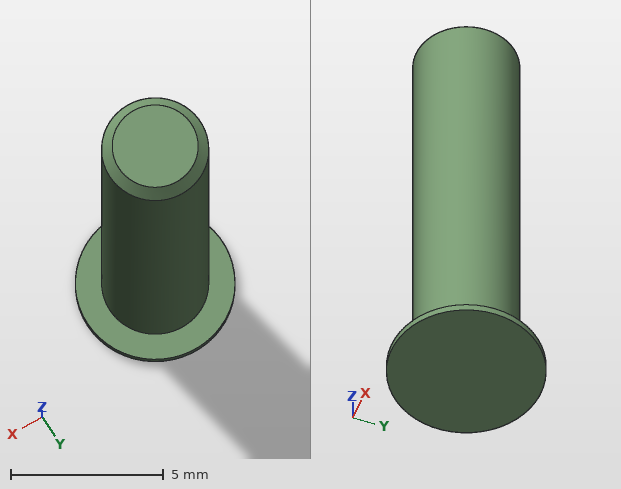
import cadquery as cq

total_height = 15.88

head_diameter = 5.22
head_thickness = 0.27

shank_diameter = 3.51
tip_chamfer = 0.35


def make_head():
    """Flat disc resting on the XY plane."""
    return cq.Workplane("XY").circle(head_diameter / 2).extrude(head_thickness)


def make_shank():
    """Shank running the full height, chamfered at its free end."""
    shank = cq.Workplane("XY").circle(shank_diameter / 2).extrude(total_height)
    return shank.faces(">Z").chamfer(tip_chamfer)


result = make_head().union(make_shank())